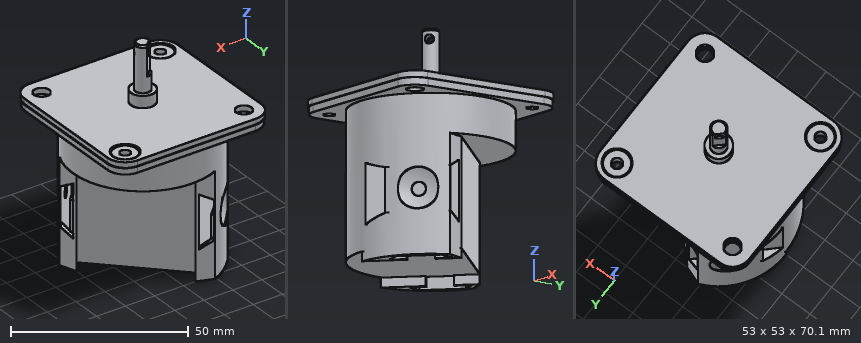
import cadquery as cq
import math

body_turn = -45
shaft_turn = -47

total_height = 70.1
body_height = 46.55
lower_plate_thickness = 2.2
upper_plate_thickness = 1.95
collar_height = 4.0
plate_seam_z = body_height + lower_plate_thickness
flange_top_z = plate_seam_z + upper_plate_thickness
collar_top_z = flange_top_z + collar_height

upper_plate_side = 53.0
lower_plate_side = 52.65
corner_radius = 6.0
hole_offset = 20.5
upper_through_hole_diameter = 5.1
lower_through_hole_diameter = 5.0
screw_hole_diameter = 3.3
recess_floor_diameter = 8.0
recess_depth = 0.35
recess_top_diameter = recess_floor_diameter + 2 * recess_depth

collar_diameter = 8.05
shaft_diameter = 5.05
shaft_tip_chamfer_height = 0.6
shaft_tip_chamfer_width = 0.4
shaft_flat_offset = 1.6
shaft_flat_length = 10.15
cross_hole_diameter = 2.5
cross_hole_drop = 3.1

body_diameter = 48.0
body_radius = body_diameter / 2
channel_half_width = 17.0
channel_height = 2.9
rear_cut_top_z = 35.1
rear_face_v = 11.35
rear_edge_u = 22.35
rear_edge_v = 8.9

leg_inner_wall = 1.0
cavity_depth = 4.0
cavity_inner_u = channel_half_width + leg_inner_wall
cavity_outer_u = cavity_inner_u + cavity_depth
cavity_taper_angle = 30
cavity_taper = cavity_depth * math.tan(math.radians(cavity_taper_angle))
cavity_half_length = 8.9
window_center_z = 19.3
window_half_height = 8.9
leg_slot_width = 8.1

bowl_hole_radius = 2.0
bowl_rim_radius = 6.0
bowl_curve_height = 1.5
bowl_mid_radius = 4.15
bowl_mid_height = 0.5

overshoot = 0.7


def rounded_plate(side, bottom_z, thickness):
    plate = cq.Workplane("XY").workplane(offset=bottom_z).rect(side, side).extrude(thickness)
    return plate.edges("|Z").fillet(corner_radius)


def corner_hole(x, y, diameter, bottom_z, top_z):
    start = cq.Workplane("XY").workplane(offset=bottom_z).center(x, y)
    return start.circle(diameter / 2).extrude(top_z - bottom_z)


def screw_recess(x, y):
    """Shallow conical recess around a screw hole."""
    floor = cq.Workplane("XY").workplane(offset=flange_top_z - recess_depth).center(x, y)
    cone = floor.circle(recess_floor_diameter / 2).workplane(offset=recess_depth)
    return cone.circle(recess_top_diameter / 2).loft()


def make_flange():
    """Two stacked plates: plain holes on one diagonal, recessed screw holes on the other."""
    flange = rounded_plate(lower_plate_side, body_height, lower_plate_thickness)
    flange = flange.union(rounded_plate(upper_plate_side, plate_seam_z, upper_plate_thickness))
    for near in (-hole_offset, hole_offset):
        far = -near
        flange = flange.cut(corner_hole(far, near, lower_through_hole_diameter, body_height, plate_seam_z))
        flange = flange.cut(corner_hole(far, near, upper_through_hole_diameter, plate_seam_z, flange_top_z))
        flange = flange.cut(corner_hole(near, near, screw_hole_diameter, body_height, flange_top_z))
        flange = flange.cut(screw_recess(near, near))
    return flange


def make_shaft():
    """Collar and shaft; the flat faces -U and the cross hole runs along U."""
    radius = shaft_diameter / 2
    profile = [
        (0, flange_top_z),
        (collar_diameter / 2, flange_top_z),
        (collar_diameter / 2, collar_top_z),
        (radius, collar_top_z),
        (radius, total_height - shaft_tip_chamfer_height),
        (radius - shaft_tip_chamfer_width, total_height),
        (0, total_height),
    ]
    shaft = cq.Workplane("XZ").polyline(profile).close().revolve(360, (0, 0), (0, 1))
    flat = cq.Workplane("XY").box(shaft_diameter, 2 * shaft_diameter, shaft_flat_length)
    flat_center_u = -shaft_flat_offset - shaft_diameter / 2
    shaft = shaft.cut(flat.translate((flat_center_u, 0, total_height - shaft_flat_length / 2)))
    cross_hole = (
        cq.Workplane("YZ")
        .center(0, total_height - cross_hole_drop)
        .circle(cross_hole_diameter / 2)
        .extrude(shaft_diameter, both=True)
    )
    return shaft.cut(cross_hole)


def rear_cut():
    """Region removed behind the legs, below the full-round top of the body."""
    reach = 2 * body_radius
    slope = (rear_edge_v - rear_face_v) / (rear_edge_u - channel_half_width)
    side_v = rear_face_v + slope * (reach - channel_half_width)
    outline = [
        (-reach, side_v),
        (-channel_half_width, rear_face_v),
        (channel_half_width, rear_face_v),
        (reach, side_v),
        (reach, reach),
        (-reach, reach),
    ]
    return cq.Workplane("XY").polyline(outline).close().extrude(rear_cut_top_z)


def window_tunnel():
    """Dovetail tunnel along V whose top and bottom open out toward the body centre."""
    inner_half = window_half_height
    outer_half = window_half_height - cavity_taper
    section = [
        (cavity_inner_u, window_center_z - inner_half),
        (cavity_outer_u, window_center_z - outer_half),
        (cavity_outer_u, window_center_z + outer_half),
        (cavity_inner_u, window_center_z + inner_half),
    ]
    return cq.Workplane("XZ").polyline(section).close().extrude(body_radius, both=True)


def leg_pocket():
    """Pocket open at the bottom, tapered in plan, ending under the sloped roof of the window."""
    outer_half_length = cavity_half_length - cavity_taper
    plan = [
        (cavity_inner_u, -cavity_half_length),
        (cavity_outer_u, -outer_half_length),
        (cavity_outer_u, outer_half_length),
        (cavity_inner_u, cavity_half_length),
    ]
    roof = [
        (cavity_inner_u, 0),
        (cavity_outer_u, 0),
        (cavity_outer_u, window_center_z + window_half_height - cavity_taper),
        (cavity_inner_u, window_center_z + window_half_height),
    ]
    column = cq.Workplane("XY").polyline(plan).close().extrude(body_height)
    return column.intersect(cq.Workplane("XZ").polyline(roof).close().extrude(body_radius, both=True))


def leg_slot():
    """Slot joining the bottom channel to the leg pocket."""
    slot = cq.Workplane("XY").box(2 * leg_inner_wall, leg_slot_width, channel_height)
    return slot.translate((cavity_inner_u - leg_inner_wall / 2, 0, channel_height / 2))


def leg_bowl():
    """Concave round bowl whose hole reaches the window tunnel."""
    hole_bottom_u = cavity_outer_u - overshoot
    curve_mid = (cavity_outer_u + bowl_mid_height, bowl_mid_radius)
    curve_end = (cavity_outer_u + bowl_curve_height, bowl_rim_radius)
    outside_u = body_radius + overshoot
    bowl = (
        cq.Workplane("XY")
        .moveTo(hole_bottom_u, 0)
        .lineTo(hole_bottom_u, bowl_hole_radius)
        .lineTo(cavity_outer_u, bowl_hole_radius)
        .threePointArc(curve_mid, curve_end)
        .lineTo(outside_u, bowl_rim_radius)
        .lineTo(outside_u, 0)
        .close()
        .revolve(360, (0, 0), (1, 0))
    )
    return bowl.translate((0, 0, window_center_z))


def make_body():
    body = cq.Workplane("XY").circle(body_radius).extrude(body_height)
    channel = cq.Workplane("XY").box(2 * channel_half_width, 3 * body_radius, 2 * channel_height)
    body = body.cut(channel).cut(rear_cut())
    for leg_tool in (window_tunnel(), leg_pocket(), leg_slot(), leg_bowl()):
        body = body.cut(leg_tool).cut(leg_tool.mirror("YZ"))
    return body


def turned(part, angle):
    return part.rotate((0, 0, 0), (0, 0, 1), angle)


result = make_flange().union(turned(make_body(), body_turn)).union(turned(make_shaft(), shaft_turn))